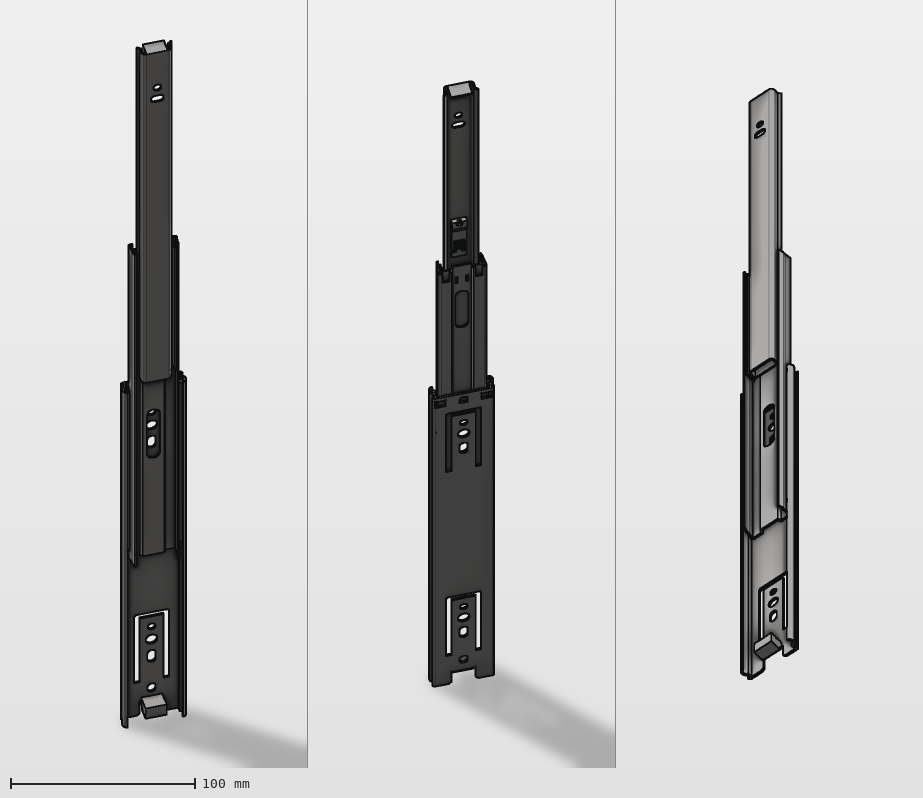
import cadquery as cq
import math


TOTAL_LENGTH = 504.0
OUTER_LENGTH = 250.0
MIDDLE_BOTTOM = 122.0
MIDDLE_TOP = 354.3
INNER_BOTTOM = 258.7

HALF_WIDTH = 17.99
OUTER_SHEET = 1.2
RACE_RADIUS = 3.0
RACE_X = 6.0
RACE_Y = HALF_WIDTH - RACE_RADIUS
RACE_END_ANGLE = 75.0
NECK_Y = 16.2
FOOT_RADIUS = 1.5
FOOT_Y = 17.4

MIDDLE_SHEET = 1.0
MIDDLE_BACK_X = 2.1
MIDDLE_HALF_WIDTH = 13.7
MIDDLE_CORNER_X = 1.2
MIDDLE_CORNER_Y = 1.6
MIDDLE_RACE_Y = 13.15
MIDDLE_RACE_X = (7.0, 9.0)
MIDDLE_LIP_X = 11.6
MIDDLE_LIP_Y = 12.4
RECESS_DEPTH = 1.8
RECESS_TOP_Y = 6.2
RECESS_FLOOR_Y = 5.2

INNER_BACK_X = 12.7
INNER_SHEET = 1.0
INNER_HALF_WIDTH = 8.5
INNER_CORNER = 2.2
LIP_TIP_X = 5.8
LIP_ROOT_X = 7.3
LIP_FLARE = 1.5
END_TAB_X = 4.4
END_TAB_HALF_WIDTH = 6.0

PATTERN_ORIGINS = (160.0, 0.0)
U_SLOT_TOP = 75.2
U_SLOT_BOTTOM = 24.6
U_SLOT_OUTER_Y = 9.9
U_SLOT_WIDTH = 3.1
U_SLOT_CORNER = 1.5
SMALL_HOLE = (64.6, 4.4)
LARGE_HOLE = (55.1, 6.6)
MOUNT_SLOT_Z = 42.6
MOUNT_SLOT_SIZE = (8.8, 4.7)
LOW_SLOT_Z = 19.0
LOW_SLOT_SIZE = (6.0, 4.7)
NOTCH_HALF_WIDTH = 6.8
NOTCH_TOP = 10.0
NOTCH_FLARE = 1.5
WINDOW_Z = (242.0, 247.0)
WINDOW_Y = (10.0, 16.0)
ARCH_HALF_WIDTH = 2.3

TONGUE_TOP = 356.7
CORNER_NOTCH_BOTTOM = 347.0
CORNER_NOTCH_Y = (7.3, 11.3)
CATCH_SLOT_Z = (342.2, 347.0)
CATCH_SLOT_Y = 3.0
CATCH_SLOT_WIDTH = 1.3
LONG_SLOT_Z = (302.8, 334.6)
LONG_SLOT_WIDTH = 7.4
ACCESS_SLOT_Z = (194.0, 230.0)
ACCESS_SLOT_WIDTH = 7.4

INNER_HOLE = (477.6, 4.4)
INNER_OVAL_Z = 469.4
INNER_OVAL_SIZE = (7.4, 4.6)

LEVER_HALF_WIDTH = 4.2
LEVER_TOP = 388.2
LEVER_BOTTOM = 361.8
LEVER_PLATE_X = 10.4
LEVER_HEAD_X = 9.0
LEVER_HEAD_BOTTOM = 382.5
LEVER_RAMP_BOTTOM = 379.0
LEVER_HOLE_Z = 386.5
LEVER_HOLE_DIAMETER = 3.4
LEVER_RIDGE_HEIGHTS = (364.5, 367.0, 369.5)
LEVER_RIDGE_SIZE = 1.1
LEVER_FOOT_Z = (356.8, 360.8)

CAGE_CLEARANCE = 0.1
CAGE_BOTTOM = 262.0
CAGE_TOP = 353.0
CAGE_WEB = 0.7
CAGE_LEG_Y = (10.5, 11.5)
CAGE_LEG_END_X = 10.5
STRIP_RADIUS = 1.4
STRIP_Z = (130.0, 248.5)

BUMPER_Z = (5.3, 13.0)
BUMPER_HALF_WIDTH = 6.0
BUMPER_FRONT_X = 10.2
BUMPER_STEP_X = 3.0
BUMPER_RAMP_Z = (7.2, 9.9)

THROUGH = 40.0
SIDES = (1, -1)


def along_z(half_outline, bottom, top):
    """Full-length bar from a half outline on the +Y side and its mirror image."""
    half = half_outline.close().extrude(top - bottom).translate((0, 0, bottom))
    return half.union(half.mirror("XZ")).clean()


def box(x_range, y_range, z_range):
    """Block between the given limits."""
    sizes = [max(limits) - min(limits) for limits in (x_range, y_range, z_range)]
    corner = [min(limits) for limits in (x_range, y_range, z_range)]
    return cq.Workplane("XY").box(*sizes, centered=False).translate(tuple(corner))


def facing_plane(z, y=0):
    """Workplane through (0, y, z) with its first axis along Y and its normal along X."""
    return cq.Workplane("YZ").center(y, z)


def round_cutter(z, diameter):
    return facing_plane(z).circle(diameter / 2).extrude(THROUGH)


def slot_cutter(z, length, width, angle=90):
    """Round-ended cutter, standing along Z unless turned by another angle."""
    return facing_plane(z).slot2D(length, width, angle).extrude(THROUGH)


def slot_between(z_range, width):
    low, high = z_range
    return slot_cutter((low + high) / 2, high - low, width)


def race_point(radius, angle):
    """Point of the outer ball race, the angle measured from +Y toward +X."""
    turn = math.radians(angle)
    return RACE_X + radius * math.sin(turn), RACE_Y + radius * math.cos(turn)


def u_slot(origin):
    """Upside-down U around a group of mounting holes."""
    top = origin + U_SLOT_TOP
    bottom = origin + U_SLOT_BOTTOM
    inner_y = U_SLOT_OUTER_Y - U_SLOT_WIDTH
    deep = (0, OUTER_SHEET)
    frame = box(deep, (-U_SLOT_OUTER_Y, U_SLOT_OUTER_Y), (bottom, top))
    tongue = box(deep, (-inner_y, inner_y), (bottom, top - U_SLOT_WIDTH))
    frame = frame.faces(">Z").edges("|X").fillet(U_SLOT_CORNER)
    return frame.cut(tongue)


def end_notch():
    """Notch at the bottom end, flared at its mouth."""
    half = [
        (0, NOTCH_TOP),
        (NOTCH_HALF_WIDTH, NOTCH_TOP),
        (NOTCH_HALF_WIDTH, NOTCH_FLARE),
        (NOTCH_HALF_WIDTH + NOTCH_FLARE, 0),
        (0, 0),
    ]
    right = cq.Workplane("YZ").polyline(half).close().extrude(OUTER_SHEET)
    return right.union(right.mirror("XZ"))


def arch_window():
    low, high = WINDOW_Z
    spring = high - ARCH_HALF_WIDTH
    outline = cq.Workplane("YZ").moveTo(-ARCH_HALF_WIDTH, low).lineTo(ARCH_HALF_WIDTH, low)
    outline = outline.lineTo(ARCH_HALF_WIDTH, spring)
    outline = outline.threePointArc((0, high), (-ARCH_HALF_WIDTH, spring))
    return outline.close().extrude(OUTER_SHEET)


def outer_rail():
    inner_race = RACE_RADIUS - OUTER_SHEET
    neck_angle = -math.degrees(math.acos((NECK_Y - RACE_Y) / RACE_RADIUS))
    arc_mid = FOOT_RADIUS * (1 - math.sqrt(0.5))
    inner_neck_y = NECK_Y - OUTER_SHEET
    profile = (
        cq.Workplane("XY")
        .lineTo(0, FOOT_Y - FOOT_RADIUS)
        .threePointArc((arc_mid, FOOT_Y - arc_mid), (FOOT_RADIUS, FOOT_Y))
        .lineTo(FOOT_RADIUS, NECK_Y)
        .lineTo(*race_point(RACE_RADIUS, neck_angle))
        .threePointArc(race_point(RACE_RADIUS, 0), race_point(RACE_RADIUS, RACE_END_ANGLE))
        .lineTo(*race_point(inner_race, RACE_END_ANGLE))
        .threePointArc(race_point(inner_race, 0), race_point(inner_race, -90))
        .lineTo(RACE_X - inner_race, inner_neck_y)
        .lineTo(OUTER_SHEET, inner_neck_y)
        .lineTo(OUTER_SHEET, 0)
    )
    rail = along_z(profile, 0, OUTER_LENGTH)
    for origin in PATTERN_ORIGINS:
        rail = rail.cut(u_slot(origin))
        for z, diameter in (SMALL_HOLE, LARGE_HOLE):
            rail = rail.cut(round_cutter(origin + z, diameter))
        rail = rail.cut(slot_cutter(origin + MOUNT_SLOT_Z, *MOUNT_SLOT_SIZE))
    rail = rail.cut(slot_cutter(LOW_SLOT_Z, *LOW_SLOT_SIZE))
    rail = rail.cut(end_notch()).cut(arch_window())
    for side in SIDES:
        window_y = [side * y for y in WINDOW_Y]
        rail = rail.cut(box((0, OUTER_SHEET), window_y, WINDOW_Z))
    return rail


RECESS_FLOOR_X = MIDDLE_BACK_X + RECESS_DEPTH
RECESS_INNER_X = RECESS_FLOOR_X + MIDDLE_SHEET


def middle_rail():
    front_x = MIDDLE_BACK_X + MIDDLE_SHEET
    corner_x = MIDDLE_BACK_X + MIDDLE_CORNER_X
    corner_y = MIDDLE_HALF_WIDTH - MIDDLE_CORNER_Y
    inner_round_x = MIDDLE_CORNER_X - MIDDLE_SHEET
    inner_round_y = MIDDLE_CORNER_Y - MIDDLE_SHEET
    reach = math.sqrt(0.5)
    race_start, race_end = MIDDLE_RACE_X
    profile = (
        cq.Workplane("XY")
        .moveTo(RECESS_FLOOR_X, 0)
        .lineTo(RECESS_FLOOR_X, RECESS_FLOOR_Y)
        .lineTo(MIDDLE_BACK_X, RECESS_TOP_Y)
        .lineTo(MIDDLE_BACK_X, corner_y)
        .threePointArc(
            (corner_x - MIDDLE_CORNER_X * reach, corner_y + MIDDLE_CORNER_Y * reach),
            (corner_x, MIDDLE_HALF_WIDTH),
        )
        .lineTo(race_start, MIDDLE_RACE_Y)
        .lineTo(race_end, MIDDLE_RACE_Y)
        .lineTo(MIDDLE_LIP_X, MIDDLE_LIP_Y)
        .lineTo(MIDDLE_LIP_X, MIDDLE_LIP_Y - MIDDLE_SHEET)
        .lineTo(race_end, MIDDLE_RACE_Y - MIDDLE_SHEET)
        .lineTo(race_start, MIDDLE_RACE_Y - MIDDLE_SHEET)
        .lineTo(corner_x, MIDDLE_HALF_WIDTH - MIDDLE_SHEET)
        .threePointArc(
            (corner_x - inner_round_x * reach, corner_y + inner_round_y * reach),
            (front_x, corner_y),
        )
        .lineTo(front_x, RECESS_TOP_Y + MIDDLE_SHEET)
        .lineTo(RECESS_INNER_X, RECESS_FLOOR_Y + MIDDLE_SHEET)
        .lineTo(RECESS_INNER_X, 0)
    )
    rail = along_z(profile, MIDDLE_BOTTOM, MIDDLE_TOP)
    tongue_y = (-RECESS_FLOOR_Y, RECESS_FLOOR_Y)
    rail = rail.union(box((RECESS_FLOOR_X, RECESS_INNER_X), tongue_y, (CORNER_NOTCH_BOTTOM, TONGUE_TOP)))
    catch_bottom, catch_top = CATCH_SLOT_Z
    for side in SIDES:
        notch_y = [side * y for y in CORNER_NOTCH_Y]
        rail = rail.cut(box((MIDDLE_BACK_X, front_x), notch_y, (CORNER_NOTCH_BOTTOM, MIDDLE_TOP)))
        catch_plane = facing_plane((catch_bottom + catch_top) / 2, side * CATCH_SLOT_Y)
        rail = rail.cut(catch_plane.rect(CATCH_SLOT_WIDTH, catch_top - catch_bottom).extrude(THROUGH))
    rail = rail.cut(slot_between(LONG_SLOT_Z, LONG_SLOT_WIDTH))
    return rail.cut(slot_between(ACCESS_SLOT_Z, ACCESS_SLOT_WIDTH))


WEB_X = INNER_BACK_X - INNER_SHEET


def inner_rail():
    inside_y = INNER_HALF_WIDTH - INNER_SHEET
    corner_x = INNER_BACK_X - INNER_CORNER
    corner_y = INNER_HALF_WIDTH - INNER_CORNER
    inner_radius = INNER_CORNER - INNER_SHEET
    reach = math.sqrt(0.5)
    profile = (
        cq.Workplane("XY")
        .moveTo(INNER_BACK_X, 0)
        .lineTo(INNER_BACK_X, corner_y)
        .threePointArc(
            (corner_x + INNER_CORNER * reach, corner_y + INNER_CORNER * reach),
            (corner_x, INNER_HALF_WIDTH),
        )
        .lineTo(LIP_ROOT_X + INNER_SHEET / 2, INNER_HALF_WIDTH)
        .lineTo(LIP_TIP_X + INNER_SHEET / 2, INNER_HALF_WIDTH + LIP_FLARE)
        .lineTo(LIP_TIP_X, INNER_HALF_WIDTH + LIP_FLARE - INNER_SHEET / 2)
        .lineTo(LIP_ROOT_X, inside_y)
        .lineTo(corner_x, inside_y)
        .threePointArc(
            (corner_x + inner_radius * reach, corner_y + inner_radius * reach),
            (WEB_X, corner_y),
        )
        .lineTo(WEB_X, 0)
    )
    rail = along_z(profile, INNER_BOTTOM, TOTAL_LENGTH)
    tab_y = (-END_TAB_HALF_WIDTH, END_TAB_HALF_WIDTH)
    rail = rail.union(box((END_TAB_X, INNER_BACK_X), tab_y, (TOTAL_LENGTH - INNER_SHEET, TOTAL_LENGTH)))
    rail = rail.cut(round_cutter(*INNER_HOLE))
    return rail.cut(slot_cutter(INNER_OVAL_Z, *INNER_OVAL_SIZE, angle=0))


def latch_lever():
    """Lever lying on the inner web: thick head, ramp, ridged plate and narrow foot."""
    side_profile = [
        (WEB_X, LEVER_BOTTOM),
        (WEB_X, LEVER_TOP),
        (LEVER_HEAD_X, LEVER_TOP),
        (LEVER_HEAD_X, LEVER_HEAD_BOTTOM),
        (LEVER_PLATE_X, LEVER_RAMP_BOTTOM),
        (LEVER_PLATE_X, LEVER_BOTTOM),
    ]
    lever = cq.Workplane("XZ").polyline(side_profile).close().extrude(LEVER_HALF_WIDTH, both=True)
    lever = lever.faces("<Z").edges("|X").fillet(LEVER_HALF_WIDTH / 2)
    pin_hole = facing_plane(LEVER_HOLE_Z).circle(LEVER_HOLE_DIAMETER / 2).extrude(LEVER_PLATE_X)
    lever = lever.cut(pin_hole)
    half_ridge = LEVER_HALF_WIDTH - LEVER_RIDGE_SIZE
    for height in LEVER_RIDGE_HEIGHTS:
        ridge_x = (LEVER_PLATE_X - LEVER_RIDGE_SIZE, LEVER_PLATE_X)
        lever = lever.union(box(ridge_x, (-half_ridge, half_ridge), (height, height + LEVER_RIDGE_SIZE)))
    foot_top = max(LEVER_FOOT_Z)
    foot = box((LEVER_PLATE_X, WEB_X), (-LEVER_HALF_WIDTH, LEVER_HALF_WIDTH), LEVER_FOOT_Z)
    neck = box((LEVER_PLATE_X, WEB_X), (-half_ridge / 2, half_ridge / 2), (foot_top, LEVER_BOTTOM))
    return lever.union(foot).union(neck)


def inner_cage():
    """U-shaped cage straddling the inner rail inside the middle rail."""
    back_x = RECESS_INNER_X + CAGE_CLEARANCE
    leg_inner, leg_outer = CAGE_LEG_Y
    height = (CAGE_BOTTOM, CAGE_TOP)
    cage = box((back_x, back_x + CAGE_WEB), (-leg_outer, leg_outer), height)
    for side in SIDES:
        cage = cage.union(box((back_x, CAGE_LEG_END_X), (side * leg_inner, side * leg_outer), height))
    return cage


def outer_cage_strip(side):
    """Round strip standing in one ball race of the outer rail."""
    bottom, top = STRIP_Z
    strip_y = side * (MIDDLE_HALF_WIDTH + CAGE_CLEARANCE + STRIP_RADIUS)
    strip = cq.Workplane("XY").center(RACE_X, strip_y).circle(STRIP_RADIUS).extrude(top - bottom)
    return strip.translate((0, 0, bottom))


def end_bumper():
    """Stop block on the outer web, undercut where it crosses the end notch."""
    bottom, top = BUMPER_Z
    ramp_bottom, ramp_top = BUMPER_RAMP_Z
    side_profile = [
        (OUTER_SHEET, top),
        (OUTER_SHEET, ramp_top),
        (BUMPER_STEP_X, ramp_bottom),
        (BUMPER_STEP_X, bottom),
        (BUMPER_FRONT_X, bottom),
        (BUMPER_FRONT_X, top),
    ]
    return cq.Workplane("XZ").polyline(side_profile).close().extrude(BUMPER_HALF_WIDTH, both=True)


cage_strips = [outer_cage_strip(side) for side in SIDES]

result = cq.Compound.makeCompound(
    [
        outer_rail().val(),
        middle_rail().val(),
        inner_rail().val(),
        latch_lever().val(),
        inner_cage().val(),
        *[strip.val() for strip in cage_strips],
        end_bumper().val(),
    ]
)